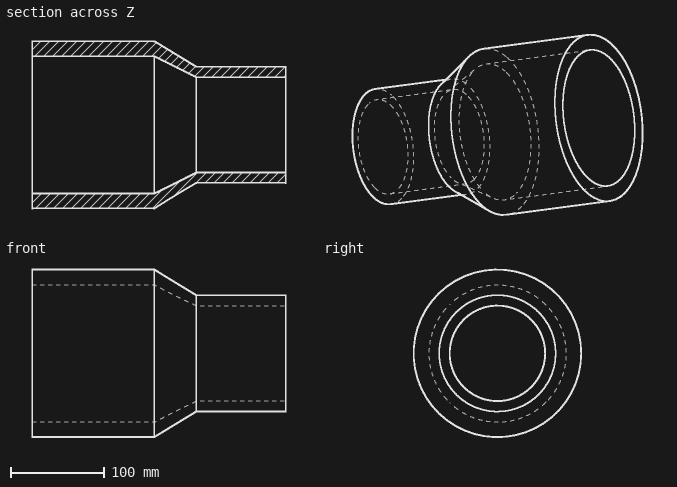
import cadquery as cq

large_diameter = 180.0
large_wall = 16.4
large_length = 131.0

small_diameter = 125.0
small_wall = 11.4
small_length = 96.0

cone_length = 45.0

cone_start = large_length
cone_end = cone_start + cone_length
total_length = cone_end + small_length


def stepped_body(large_radius, small_radius):
    """Solid of revolution: large cylinder, cone, then small cylinder."""
    profile = (
        cq.Workplane("XY")
        .moveTo(0, 0)
        .lineTo(0, large_radius)
        .lineTo(cone_start, large_radius)
        .lineTo(cone_end, small_radius)
        .lineTo(total_length, small_radius)
        .lineTo(total_length, 0)
        .close()
    )
    return profile.revolve(360, (0, 0, 0), (1, 0, 0))


outer_body = stepped_body(large_diameter / 2, small_diameter / 2)
bore = stepped_body(large_diameter / 2 - large_wall, small_diameter / 2 - small_wall)

result = outer_body.cut(bore)